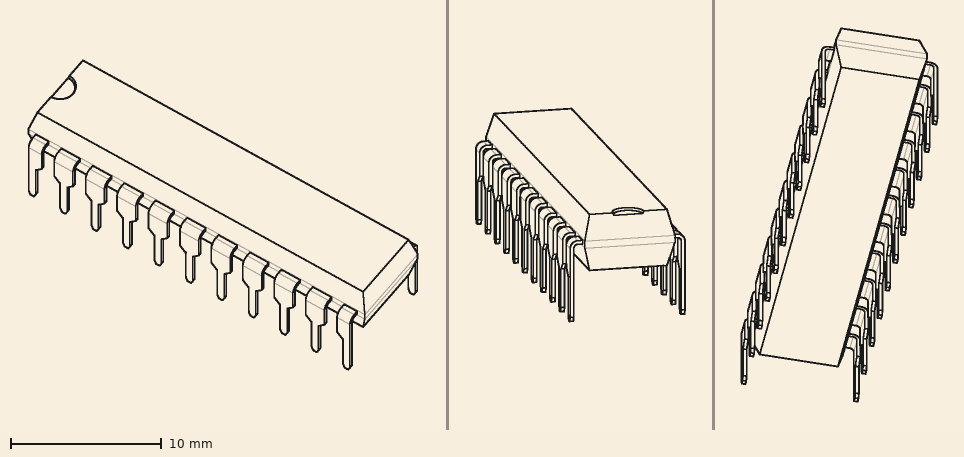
import cadquery as cq


overall_height = 7.37
lead_row_spacing = 7.62

body_length = 27.2
body_width = 6.17
body_height = 3.85
band_height = 0.5
upper_height = 1.7
face_inset = 0.44
lower_height = body_height - band_height - upper_height
band_top = overall_height - upper_height
band_bottom = band_top - band_height

notch_rim_radius = 1.05
notch_floor_radius = 0.98
notch_depth = 0.15

leads_per_row = 11
lead_row_length = 25.4
lead_pitch = lead_row_length / (leads_per_row - 1)
lead_thickness = 0.25
bend_outer_radius = 0.52
bend_inner_radius = bend_outer_radius - lead_thickness
lead_embed = 0.27
lead_top = (band_top + band_bottom + lead_thickness) / 2
lead_outer_y = (lead_row_spacing + lead_thickness) / 2
lead_inner_y = lead_outer_y - lead_thickness
lead_root_y = body_width / 2 - lead_embed

shoulder_width = 1.52
pin_width = 0.57
shoulder_bottom = 3.45
pin_top = shoulder_bottom - (shoulder_width - pin_width) / 2
tip_width = 0.3
tip_height = 0.33


def tapered_block(start_z, height):
    """Frustum from the belt outline at start_z to the inset face; negative height goes down."""
    return (
        cq.Workplane("XY", origin=(0, 0, start_z))
        .rect(body_length, body_width)
        .workplane(offset=height)
        .rect(body_length - 2 * face_inset, body_width - 2 * face_inset)
        .loft(ruled=True)
    )


def make_body():
    band = (
        cq.Workplane("XY", origin=(0, 0, band_bottom))
        .rect(body_length, body_width)
        .extrude(band_height)
    )
    upper = tapered_block(band_top, upper_height)
    lower = tapered_block(band_bottom, -lower_height)
    notch = (
        cq.Workplane("XY", origin=(face_inset - body_length / 2, 0, overall_height - notch_depth))
        .circle(notch_floor_radius)
        .workplane(offset=notch_depth)
        .circle(notch_rim_radius)
        .loft()
    )
    return band.union(upper).union(lower).cut(notch)


def make_bent_strip():
    """Side profile of the front row's leads, swept along the whole row."""
    bend_z = lead_top - bend_outer_radius
    bend_y = bend_outer_radius - lead_outer_y
    strip_length = lead_row_length + shoulder_width
    return (
        cq.Workplane("YZ", origin=(-strip_length / 2, 0, 0))
        .moveTo(-lead_root_y, lead_top)
        .lineTo(bend_y, lead_top)
        .radiusArc((-lead_outer_y, bend_z), -bend_outer_radius)
        .lineTo(-lead_outer_y, 0)
        .lineTo(-lead_inner_y, 0)
        .lineTo(-lead_inner_y, bend_z)
        .radiusArc((bend_y, lead_top - lead_thickness), bend_inner_radius)
        .lineTo(-lead_root_y, lead_top - lead_thickness)
        .close()
        .extrude(strip_length)
    )


def side_points(width):
    """Right-hand side of a lead from tip to top; straight above the tip if there is no shoulder."""
    pin = [(tip_width / 2, 0), (pin_width / 2, tip_height)]
    if width == pin_width:
        return pin + [(pin_width / 2, lead_top)]
    return pin + [(pin_width / 2, pin_top), (width / 2, shoulder_bottom), (width / 2, lead_top)]


def make_lead_outline(center_x, left_width, right_width):
    """Face-on outline extruded through the front row; each side is given as a full symmetric width."""
    left_side = [(-x, z) for x, z in reversed(side_points(left_width))]
    return (
        cq.Workplane("XZ", origin=(center_x, 0, 0))
        .polyline(side_points(right_width) + left_side)
        .close()
        .extrude(lead_outer_y)
    )


def make_front_leads():
    """List of front row leads; the end leads have no shoulder on their outer side."""
    strip = make_bent_strip()
    leads = []
    for index in range(leads_per_row):
        center_x = index * lead_pitch - lead_row_length / 2
        left_width = pin_width if index == 0 else shoulder_width
        right_width = pin_width if index == leads_per_row - 1 else shoulder_width
        leads.append(strip.intersect(make_lead_outline(center_x, left_width, right_width)))
    return leads


result = make_body()
for lead in make_front_leads():
    result = result.union(lead).union(lead.mirror("XZ"))